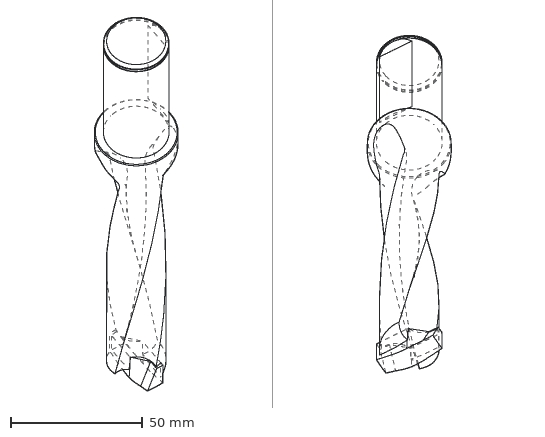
import cadquery as cq
import math

TOTAL_LENGTH = 205.0
FLANGE_TOP = 148.8
FLANGE_RIM_BOTTOM = 142.5
NECK_TOP = 130.0
FLUTE_TOP = 126.9

SHANK_DIAMETER = 25.0
FLANGE_DIAMETER = 32.0
BODY_DIAMETER = 22.8
SHANK_RADIUS = SHANK_DIAMETER / 2
FLANGE_RADIUS = FLANGE_DIAMETER / 2
BODY_RADIUS = BODY_DIAMETER / 2

SHANK_CHAMFER = 1.2
FLANGE_CHAMFER = 0.5
CONE_ANGLE = 23.0

GROOVE_TOP = 203.4
GROOVE_BOTTOM = 202.1
GROOVE_DEPTH = 0.2

FLAT_DEPTH = 2.3
FLAT_BOTTOM = 154.8
FLAT_TOP = 199.9
FLAT_END_SLOPE_RUN = 2.7

FLUTE_COUNT = 2
CORE_RADIUS = 3.7
FLUTE_RADIUS = 8.2
FLUTE_TWIST_RATE = 0.9268
FLUTE_START_ANGLE = 133.0
EXIT_ANGLE = 48.0
EXIT_DIRECTION = -88.0
EXIT_LENGTH = 32.8

INSERT_HEIGHT = 14.5
INSERT_WIDTH = 24.2
INSERT_THICKNESS = 8.2
INSERT_POINT_SLOPE = 16.0

NOSE_HEIGHT = 5.7
NOSE_SLOPE = 20.0
NOSE_RELIEF_START = -3.5
NOSE_RELIEF_SLOPE = 12.0

GASH_INNER_X_BOTTOM = 1.2
GASH_INNER_X_TOP = 1.8
GASH_BEND_X = 8.0
GASH_FLOOR_BOTTOM = -4.3
GASH_FLOOR_TOP = 1.2

CLEARANCE = 4.0


def polar(radius, angle):
    return radius * math.cos(math.radians(angle)), radius * math.sin(math.radians(angle))


def make_turned_blank():
    sine = math.sin(math.radians(CONE_ANGLE))
    cosine = math.cos(math.radians(CONE_ANGLE))
    half_sine = math.sin(math.radians(CONE_ANGLE / 2))
    half_cosine = math.cos(math.radians(CONE_ANGLE / 2))

    fillet_radius = (NECK_TOP - FLUTE_TOP) / sine
    cone_foot_radius = BODY_RADIUS + fillet_radius * (1 - cosine)

    cone_width = FLANGE_RADIUS - cone_foot_radius
    cone_height = FLANGE_RIM_BOTTOM - NECK_TOP
    shoulder_radius = (cone_height * sine - cone_width * cosine) / (1 - cosine)
    shoulder_center = FLANGE_RADIUS - shoulder_radius

    return (
        cq.Workplane("XZ")
        .lineTo(BODY_RADIUS, 0)
        .lineTo(BODY_RADIUS, FLUTE_TOP)
        .threePointArc(
            (BODY_RADIUS + fillet_radius * (1 - half_cosine), FLUTE_TOP + fillet_radius * half_sine),
            (cone_foot_radius, NECK_TOP),
        )
        .lineTo(shoulder_center + shoulder_radius * cosine, FLANGE_RIM_BOTTOM - shoulder_radius * sine)
        .threePointArc(
            (shoulder_center + shoulder_radius * half_cosine,
             FLANGE_RIM_BOTTOM - shoulder_radius * half_sine),
            (FLANGE_RADIUS, FLANGE_RIM_BOTTOM),
        )
        .lineTo(FLANGE_RADIUS, FLANGE_TOP - FLANGE_CHAMFER)
        .lineTo(FLANGE_RADIUS - FLANGE_CHAMFER, FLANGE_TOP)
        .lineTo(SHANK_RADIUS, FLANGE_TOP)
        .lineTo(SHANK_RADIUS, GROOVE_BOTTOM)
        .lineTo(SHANK_RADIUS - GROOVE_DEPTH, GROOVE_BOTTOM)
        .lineTo(SHANK_RADIUS - GROOVE_DEPTH, GROOVE_TOP)
        .lineTo(SHANK_RADIUS, GROOVE_TOP)
        .lineTo(SHANK_RADIUS, TOTAL_LENGTH - SHANK_CHAMFER)
        .lineTo(SHANK_RADIUS - SHANK_CHAMFER, TOTAL_LENGTH)
        .lineTo(0, TOTAL_LENGTH)
        .close()
        .revolve(360, (0, 0, 0), (0, 1, 0))
    )


def make_shank_flat():
    floor_y = SHANK_RADIUS - FLAT_DEPTH
    outer_y = floor_y + CLEARANCE
    run = FLAT_END_SLOPE_RUN * CLEARANCE / FLAT_DEPTH
    return (
        cq.Workplane("YZ")
        .polyline([
            (floor_y, FLAT_BOTTOM),
            (floor_y, FLAT_TOP),
            (outer_y, FLAT_TOP + run),
            (outer_y, FLAT_BOTTOM - run),
        ])
        .close()
        .extrude(SHANK_RADIUS, both=True)
    )


def make_flute_parts():
    offset = CORE_RADIUS + FLUTE_RADIUS
    twist = FLUTE_TWIST_RATE * FLUTE_TOP
    helix = (
        cq.Workplane("XY")
        .pushPoints([polar(offset, FLUTE_START_ANGLE)])
        .circle(FLUTE_RADIUS)
        .twistExtrude(FLUTE_TOP, twist)
    )
    helix_top = cq.Vector(*polar(offset, FLUTE_START_ANGLE + twist), FLUTE_TOP)
    ball = cq.Workplane("XY").sphere(FLUTE_RADIUS).translate(helix_top)
    lean_x, lean_y = polar(math.sin(math.radians(EXIT_ANGLE)), EXIT_DIRECTION)
    lean = cq.Vector(lean_x, lean_y, math.cos(math.radians(EXIT_ANGLE)))
    runout = cq.Workplane(cq.Solid.makeCylinder(FLUTE_RADIUS, EXIT_LENGTH, helix_top, lean))
    return [helix, ball, runout]


def make_nose_bevel():
    half = INSERT_THICKNESS / 2
    reach = FLANGE_RADIUS
    edge_rise = (reach - half) * math.tan(math.radians(NOSE_SLOPE))
    relief_rise = (reach - NOSE_RELIEF_START) * math.tan(math.radians(NOSE_RELIEF_SLOPE))

    def section(lift):
        return [
            (-reach, -CLEARANCE),
            (0, -CLEARANCE),
            (0, NOSE_HEIGHT + lift),
            (-half, NOSE_HEIGHT + lift),
            (-reach, NOSE_HEIGHT + edge_rise + lift),
        ]

    level_part = (
        cq.Workplane("YZ", origin=(-reach, 0, 0))
        .polyline(section(0))
        .close()
        .extrude(reach + NOSE_RELIEF_START)
    )
    relief_part = (
        cq.Workplane("YZ", origin=(NOSE_RELIEF_START, 0, 0))
        .polyline(section(0))
        .close()
        .workplane(offset=reach - NOSE_RELIEF_START)
        .polyline(section(relief_rise))
        .close()
        .loft(ruled=True)
    )
    return level_part.union(relief_part)


def make_insert_slab(width):
    return cq.Workplane("XY").box(
        width, INSERT_THICKNESS, INSERT_HEIGHT, centered=(True, True, False)
    )


def half_turns(shape):
    return [shape.rotate((0, 0, 0), (0, 0, 1), i * 360 / FLUTE_COUNT) for i in range(FLUTE_COUNT)]


def make_drill_body():
    body = make_turned_blank().cut(make_shank_flat())
    for part in [*make_flute_parts(), make_nose_bevel()]:
        for copy in half_turns(part):
            body = body.cut(copy)
    return body.cut(make_insert_slab(FLANGE_DIAMETER))


def make_gash():
    def outline(inner_x, floor_y):
        half = INSERT_THICKNESS / 2
        return [
            (inner_x, -half), (GASH_BEND_X, floor_y), (FLANGE_RADIUS, floor_y),
            (FLANGE_RADIUS, -FLANGE_RADIUS), (inner_x, -FLANGE_RADIUS),
        ]
    return (
        cq.Workplane("XY")
        .polyline(outline(GASH_INNER_X_BOTTOM, GASH_FLOOR_BOTTOM))
        .close()
        .workplane(offset=INSERT_HEIGHT)
        .polyline(outline(GASH_INNER_X_TOP, GASH_FLOOR_TOP))
        .close()
        .loft(ruled=True)
    )


def make_insert():
    point_rise = INSERT_WIDTH * math.tan(math.radians(INSERT_POINT_SLOPE))
    point = (
        cq.Workplane("XZ")
        .polyline([
            (0, 0),
            (INSERT_WIDTH, point_rise),
            (INSERT_WIDTH, INSERT_HEIGHT),
            (0, INSERT_HEIGHT),
        ])
        .close()
        .revolve(360, (0, 0, 0), (0, 1, 0))
    )
    insert = make_insert_slab(INSERT_WIDTH).intersect(point)
    for gash in half_turns(make_gash()):
        insert = insert.cut(gash)
    return insert


drill_body = make_drill_body()
insert = make_insert()
result = cq.Compound.makeCompound([drill_body.solids().val(), insert.solids().val()])